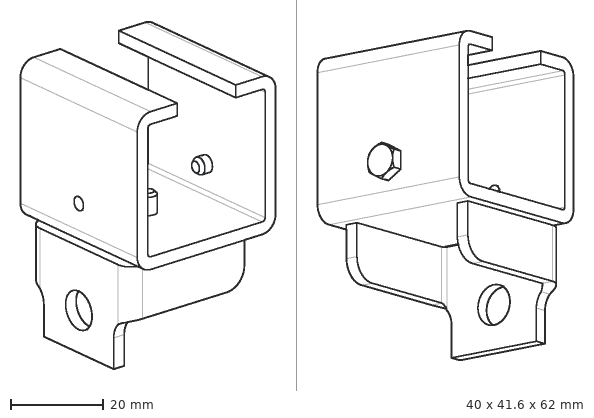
import cadquery as cq
import math

overall_depth = 41.6
overall_height = 62

thickness = 3.0
bend_radius = 3.8
inner_bend_radius = bend_radius - thickness

channel_length = 40.0
channel_depth = 38.8
channel_height = 37.0
lip_width = 11.2

bracket_width = 34.2
bracket_depth = 32.4
bracket_height = overall_height - channel_height
arm_height = 12.5
arm_corner_radius = 5.0
neck_width = 23.95
neck_corner_radius = 5.0
mounting_hole_diameter = 9.0
mounting_hole_above_end = 10.0

thread_diameter = 4.0
thread_tip_diameter = 2.65
bolt_above_underside = 10.05
bolt_reach = 3.1
bolt_tip_length = 1.0
head_height = overall_depth - channel_depth
head_across_flats = 7.0
head_chamfer_length = 0.5
access_hole_diameter = 3.2
stud_reach = 4.95
stud_tip_length = 0.7

front = -channel_depth / 2
back = channel_depth / 2


def box(x_range, y_range, z_range):
    """Axis-aligned block between the given limits."""
    (x0, x1), (y0, y1), (z0, z1) = x_range, y_range, z_range
    return cq.Workplane("XY").box(x1 - x0, y1 - y0, z1 - z0, centered=False).translate((x0, y0, z0))


def lipped_channel():
    """C-section channel, open at the top between two lips."""
    half_length = channel_length / 2
    ends = (-half_length, half_length)
    outside = box(ends, (front, back), (0, channel_height)).edges("|X").fillet(bend_radius)
    inside = box(
        ends,
        (front + thickness, back - thickness),
        (thickness, channel_height - thickness),
    ).edges("|X").fillet(inner_bend_radius)
    mouth = box(
        ends,
        (front + lip_width, back - lip_width),
        (channel_height / 2, channel_height),
    )
    return outside.cut(inside).cut(mouth)


def pin(length, tip_length):
    """Round pin along +Z from the origin with a conical tip."""
    shank = cq.Workplane("XY").circle(thread_diameter / 2).extrude(length)
    tip_inset = (thread_diameter - thread_tip_diameter) / 2
    return shank.faces(">Z").chamfer(tip_length, tip_inset)


def hex_bolt():
    """Bolt from the back: head on the wall, pin through the wall, pointing to the front."""
    across_corners = head_across_flats / math.cos(math.pi / 6)
    head = cq.Workplane("XY").polygon(6, across_corners).extrude(-head_height)
    chamfered_disc = (
        cq.Workplane("XY")
        .circle(across_corners / 2)
        .extrude(-head_height)
        .faces("<Z")
        .chamfer(head_chamfer_length, (across_corners - head_across_flats) / 2)
    )
    bolt = head.intersect(chamfered_disc).union(pin(thickness + bolt_reach, bolt_tip_length))
    return (
        bolt.rotate((0, 0, 0), (0, 0, 1), 90)
        .rotate((0, 0, 0), (1, 0, 0), 90)
        .translate((0, back, bolt_above_underside))
    )


plate_half_width = bracket_width / 2 - bend_radius
arm_bottom = -arm_height
corner_start = arm_bottom - neck_corner_radius
flat_run = plate_half_width - neck_width / 2


def neck_corner_edge(run):
    """Height of the lower sheet edge at a distance along the sheet from the neck side."""
    remaining = neck_corner_radius - run
    return corner_start + math.sqrt(neck_corner_radius**2 - remaining**2)


def front_plate():
    """Front plate with its narrower neck and the mounting hole."""
    half_neck = neck_width / 2
    end = -bracket_height
    middle_run = flat_run / 2
    right = (
        cq.Workplane("XZ", origin=(0, front + thickness, 0))
        .moveTo(0, 0)
        .lineTo(plate_half_width, 0)
        .lineTo(plate_half_width, neck_corner_edge(flat_run))
        .threePointArc(
            (half_neck + middle_run, neck_corner_edge(middle_run)),
            (half_neck, corner_start),
        )
        .lineTo(half_neck, end)
        .lineTo(0, end)
        .close()
        .extrude(thickness)
    )
    hole = (
        cq.Workplane("XZ", origin=(0, front + thickness, end + mounting_hole_above_end))
        .circle(mounting_hole_diameter / 2)
        .extrude(thickness)
    )
    return right.union(right.mirror("YZ")).cut(hole)


def radial_section(angle, low, radius_range):
    """Upright rectangle facing out from the bend axis, from the channel down to a lower edge."""
    near, far = radius_range
    section = (
        cq.Workplane("XZ")
        .moveTo(near, 0)
        .lineTo(far, 0)
        .lineTo(far, low)
        .lineTo(near, low)
        .close()
    )
    return section.val().rotate(cq.Vector(0, 0, 0), cq.Vector(0, 0, 1), angle)


def right_bend():
    """Quarter-round bend whose lower edge rises from the neck corner to the arm."""
    wedge_radii = (inner_bend_radius / 2, bend_radius * 1.5)
    section_count = 7
    bend_run = neck_corner_radius - flat_run
    sections = []
    for i in range(section_count):
        fraction = i / (section_count - 1)
        angle = -90 + 90 * fraction
        low = neck_corner_edge(flat_run + fraction * bend_run)
        sections.append(radial_section(angle, low, wedge_radii))
    wedge = cq.Workplane(cq.Solid.makeLoft(sections))
    tube = cq.Workplane("XY").circle(bend_radius).circle(inner_bend_radius).extrude(-bracket_height)
    return tube.intersect(wedge).translate((plate_half_width, front + bend_radius, 0))


def right_arm():
    """Side arm with its lower back corner rounded."""
    outside = bracket_width / 2
    arm = box(
        (outside - thickness, outside),
        (front + bend_radius, front + bracket_depth),
        (arm_bottom, 0),
    )
    return arm.edges("|X and >Y and <Z").fillet(arm_corner_radius)


def bracket():
    """Front plate with a bend and an arm on each side."""
    side = right_bend().union(right_arm())
    return front_plate().union(side).union(side.mirror("YZ"))


def access_hole():
    """Round hole through the front wall, in line with the bolt."""
    return (
        cq.Workplane("XZ", origin=(0, front + thickness, bolt_above_underside))
        .circle(access_hole_diameter / 2)
        .extrude(thickness)
    )


stud = pin(stud_reach, stud_tip_length).translate((0, 0, thickness))
result = lipped_channel().cut(access_hole()).union(hex_bolt()).union(stud).union(bracket())